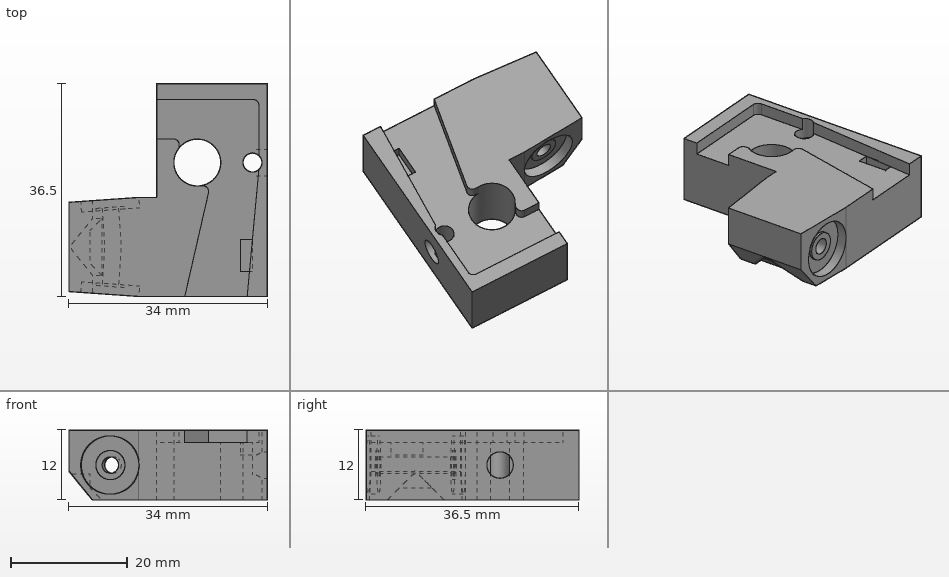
import cadquery as cq
import math

length_x = 34.0
length_y = 36.5
height = 12.0
column_x = 15.05
arm_width = 17.0
arm_mid_y = arm_width / 2
taper_run = 11.97
taper_rise = 0.85
taper_angle = math.degrees(math.atan2(taper_rise, taper_run))

slope_run = 4.0
slope_top = 4.93

main_hole_x = 22.0
hole_y = 22.95
main_hole_diameter = 8.0
small_hole_x = 31.45
small_hole_diameter = 3.2
side_bore_diameter = 4.53

shelf_depth = 2.15
back_rim = 2.75
side_rim = 1.45
shelf_left_front = 19.85
shelf_right_front = 30.55
shelf_bend_y = 21.8
neck_x = 24.2
neck_y = 18.98
ledge_x = 18.9
ledge_y = 27.0
corner_radius = 1.0
shelf_right = length_x - side_rim

pocket_x = 29.42
pocket_y = 4.27
pocket_length = 5.5
pocket_width = 2.0
pocket_depth = 2.1

bore_x = 7.0
bore_z = height / 2
bore_diameter = 2.8
counterbore_diameter = 10.0
counterbore_depth = 1.82
boss_diameter = 5.0
boss_height = 0.45

notch_half_width = 5.3
notch_radius = 1.0
notch_lip = 0.4
notch_wall_x = 3.65
notch_wall_bottom = 2.05
notch_end_x = 5.7
overlap = 1.82


def make_block():
    outline = [
        (0, taper_rise), (taper_run, 0), (length_x, 0), (length_x, length_y),
        (column_x, length_y), (column_x, arm_width), (taper_run, arm_width),
        (0, arm_width - taper_rise),
    ]
    block = cq.Workplane("XY").polyline(outline).close().extrude(height)
    wedge = (
        cq.Workplane("XZ")
        .polyline([(0, 0), (slope_run, 0), (0, slope_top)]).close()
        .extrude(-arm_width)
    )
    return block.cut(wedge)


def vertical_hole(x, diameter):
    return cq.Workplane("XY").center(x, hole_y).circle(diameter / 2).extrude(height)


def make_shelf():
    floor_z = height - shelf_depth
    back_y = length_y - back_rim
    outline = [
        (column_x, back_y), (shelf_right, back_y), (shelf_right, shelf_bend_y),
        (shelf_right_front, 0), (shelf_left_front, 0), (neck_x, neck_y),
        (main_hole_x, neck_y), (main_hole_x, hole_y), (ledge_x, hole_y),
        (ledge_x, ledge_y), (column_x, ledge_y),
    ]
    shelf = (
        cq.Workplane("XY").workplane(offset=floor_z)
        .polyline(outline).close().extrude(shelf_depth)
    )
    for corner in [(shelf_right, back_y), (neck_x, neck_y), (ledge_x, ledge_y)]:
        middle = (corner[0], corner[1], floor_z + shelf_depth / 2)
        shelf = shelf.edges(cq.NearestToPointSelector(middle)).fillet(corner_radius)
    return shelf


def make_pocket():
    floor_z = height - shelf_depth - pocket_depth
    return (
        cq.Workplane("XY", origin=(pocket_x, pocket_y, floor_z))
        .box(pocket_width, pocket_length, pocket_depth, centered=False)
    )


def make_side_bore():
    return (
        cq.Workplane("YZ", origin=(small_hole_x, hole_y, height / 2))
        .circle(side_bore_diameter / 2).extrude(length_x - small_hole_x)
    )


def make_front_bore():
    def cylinder(diameter, start, end):
        return cq.Workplane("XZ", origin=(0, start, 0)).circle(diameter / 2).extrude(start - end)

    floor = counterbore_depth
    cutter = cylinder(counterbore_diameter, -overlap, floor)
    cutter = cutter.cut(cylinder(boss_diameter, floor - boss_height, floor))
    cutter = cutter.union(cylinder(bore_diameter, 0, arm_width))
    entry_y = taper_rise * (1 - bore_x / taper_run)
    cutter = cutter.rotate((0, 0, 0), (0, 0, 1), -taper_angle).translate((bore_x, entry_y, bore_z))
    front_half = cq.Workplane("XY").box(length_x, arm_mid_y + overlap, height, centered=False)
    return cutter.intersect(front_half.translate((0, -overlap, 0)))


def oblique_wedge(peak_x, peak_z, travel, drop):
    half_width = notch_half_width + overlap
    base_x = peak_x + half_width * slope_run / slope_top
    base_z = peak_z - half_width
    outline = cq.Wire.makePolygon([
        cq.Vector(base_x, arm_mid_y - half_width, base_z),
        cq.Vector(base_x, arm_mid_y + half_width, base_z),
        cq.Vector(peak_x, arm_mid_y, peak_z),
    ], close=True)
    wedge = cq.Workplane(cq.Solid.extrudeLinear(outline, [], cq.Vector(travel, 0, -drop)))
    ridge_middle = (peak_x + travel / 2, arm_mid_y, peak_z - drop / 2)
    return wedge.edges(cq.NearestToPointSelector(ridge_middle)).fillet(notch_radius)


def make_notch():
    peak_z = notch_half_width
    peak_x = (slope_top - peak_z) * slope_run / slope_top
    lip = oblique_wedge(peak_x, peak_z, notch_lip, notch_lip)
    straight = oblique_wedge(peak_x + notch_lip, peak_z - notch_lip, notch_end_x, 0)
    side_profile = (
        cq.Workplane("XZ")
        .polyline([
            (0, 0), (notch_end_x, 0), (notch_wall_x, notch_wall_bottom),
            (notch_wall_x, height), (0, height),
        ]).close()
        .extrude(-arm_width)
    )
    return lip.union(straight).intersect(side_profile)


front_bore = make_front_bore()
back_bore = front_bore.mirror("XZ", (0, arm_mid_y, 0))

result = (
    make_block()
    .cut(make_shelf())
    .cut(make_pocket())
    .cut(vertical_hole(main_hole_x, main_hole_diameter))
    .cut(vertical_hole(small_hole_x, small_hole_diameter))
    .cut(make_side_bore())
    .cut(front_bore)
    .cut(back_bore)
    .cut(make_notch())
)